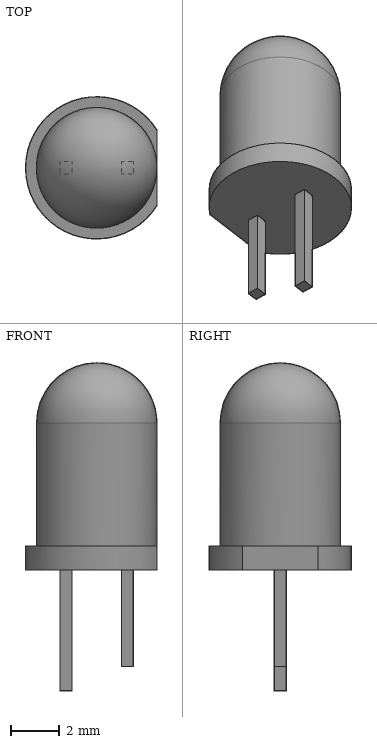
import cadquery as cq


total_height = 13.6
lens_radius = 2.5
flange_radius = 2.95
flange_height = 1.0
flat_offset = lens_radius

lead_width = 0.5
lead_spacing = 2.55
long_lead_length = 5.0
short_lead_length = 4.0

lens_top = total_height - long_lead_length
dome_base = lens_top - lens_radius


def make_lens():
    """Cylinder with a hemispherical top, revolved about Z."""
    dome_mid = lens_radius * 0.5 ** 0.5
    profile = (
        cq.Workplane("XZ")
        .lineTo(lens_radius, 0)
        .lineTo(lens_radius, dome_base)
        .threePointArc((dome_mid, dome_base + dome_mid), (0, lens_top))
        .close()
    )
    return profile.revolve(360, (0, 0, 0), (0, 1, 0))


def make_flange():
    """Disc with a flat on its +X side."""
    disc = cq.Workplane("XY").circle(flange_radius).extrude(flange_height)
    beyond_flat = cq.Workplane("XY").box(
        flange_radius, 2 * flange_radius, flange_height, centered=(False, True, False)
    )
    return disc.cut(beyond_flat.translate((flat_offset, 0, 0)))


def make_lead(x, length):
    """Square lead hanging below the flange."""
    return cq.Workplane("XY").center(x, 0).rect(lead_width, lead_width).extrude(-length)


result = (
    make_flange()
    .union(make_lens())
    .union(make_lead(-lead_spacing / 2, long_lead_length))
    .union(make_lead(lead_spacing / 2, short_lead_length))
)